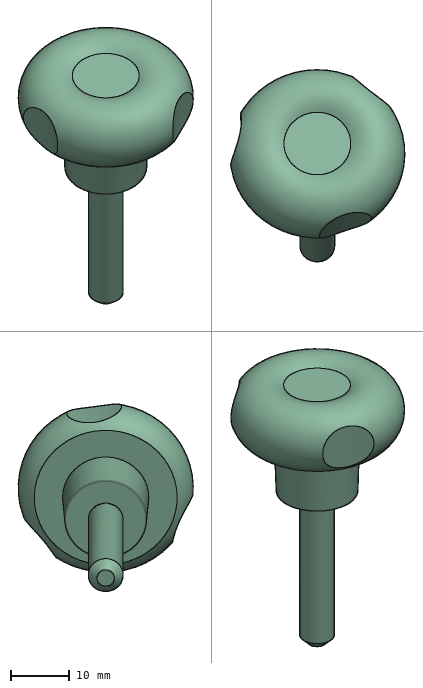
import cadquery as cq
import math

total_height = 52.0
head_height = 11.0
hub_height = 10.95
head_bottom = total_height - head_height
hub_bottom = head_bottom - hub_height

head_radius = 15.0
rim_radius = 6.0
rim_center_radius = head_radius - rim_radius
rim_center_height = total_height - rim_radius
dish_radius = 5.7

hub_top_radius = 7.4
hub_bottom_radius = 7.0
hub_edge_fillet = 0.15

stud_radius = 6.0 / 2
tip_chamfer = 1.5
shoulder_chamfer = 0.2

scallop_count = 3
first_scallop_angle = -90
scallop_radius = 14.95
scallop_floor_distance = 13.45


def make_head():
    dish_offset = rim_center_radius - dish_radius
    dish_height = rim_center_height + math.sqrt(rim_radius**2 - dish_offset**2)
    bottom_drop = rim_center_height - head_bottom
    bottom_radius = rim_center_radius + math.sqrt(rim_radius**2 - bottom_drop**2)
    return (
        cq.Workplane("XZ")
        .moveTo(0, head_bottom)
        .lineTo(bottom_radius, head_bottom)
        .threePointArc((head_radius, rim_center_height), (dish_radius, dish_height))
        .lineTo(0, dish_height)
        .close()
        .revolve(360, (0, 0, 0), (0, 1, 0))
    )


def cut_scallops(head):
    axis_distance = scallop_floor_distance + scallop_radius
    for index in range(scallop_count):
        angle = math.radians(first_scallop_angle + index * 360 / scallop_count)
        cutter = (
            cq.Workplane("XY", origin=(0, 0, head_bottom))
            .center(axis_distance * math.cos(angle), axis_distance * math.sin(angle))
            .circle(scallop_radius)
            .extrude(head_height)
        )
        head = head.cut(cutter)
    return head


def make_hub():
    return (
        cq.Workplane("XY", origin=(0, 0, hub_bottom))
        .circle(hub_bottom_radius)
        .workplane(offset=hub_height)
        .circle(hub_top_radius)
        .loft()
        .faces("<Z")
        .edges()
        .fillet(hub_edge_fillet)
    )


def make_stud():
    return (
        cq.Workplane("XY")
        .circle(stud_radius)
        .extrude(hub_bottom)
        .faces("<Z")
        .chamfer(tip_chamfer)
        .faces(">Z")
        .chamfer(shoulder_chamfer)
    )


result = cut_scallops(make_head()).union(make_hub()).union(make_stud())